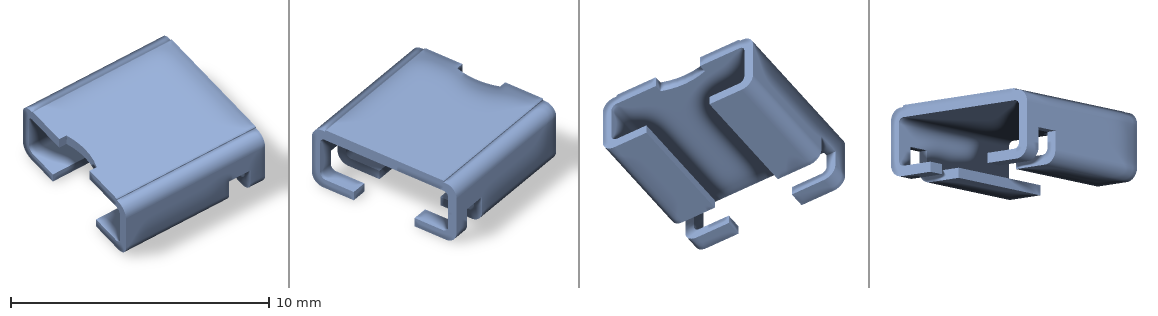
import cadquery as cq

width = 6.9
length = 6.6
height = 2.79

sheet = 0.4
rail_height = 2.71
top_outer_radius = 0.5
bottom_outer_radius = 0.52
bottom_inner_radius = 0.25
lip_reach = 2.0
joint_offset = 0.62
top_inner_radius = joint_offset - sheet

slot_width = 1.0
slot_top = 1.27
slot_end_gap = 0.7

plate_bottom = rail_height - sheet
plate_thickness = height - plate_bottom
plate_width = width - 2 * joint_offset
chamfer_width = 0.05
chamfer_depth = 0.03

notch_width = 2.04
notch_side_depth = 0.34
notch_mid_depth = 0.51

front_y = -length / 2
back_y = length / 2


def make_left_rail():
    """Strip on the -X side: bottom lip, upright wall and short top flange."""
    outer_x = -width / 2
    inner_x = outer_x + sheet
    joint_x = outer_x + joint_offset
    lip_x = outer_x + lip_reach

    rail = (
        cq.Workplane("XZ", origin=(0, back_y, 0))
        .moveTo(lip_x, 0)
        .lineTo(outer_x + bottom_outer_radius, 0)
        .radiusArc((outer_x, bottom_outer_radius), bottom_outer_radius)
        .lineTo(outer_x, rail_height - top_outer_radius)
        .radiusArc((outer_x + top_outer_radius, rail_height), top_outer_radius)
        .lineTo(joint_x, rail_height)
        .lineTo(joint_x, plate_bottom)
        .radiusArc((inner_x, plate_bottom - top_inner_radius), -top_inner_radius)
        .lineTo(inner_x, sheet + bottom_inner_radius)
        .radiusArc((inner_x + bottom_inner_radius, sheet), -bottom_inner_radius)
        .lineTo(lip_x, sheet)
        .close()
        .extrude(length)
    )
    slot = cq.Workplane("XY").box(lip_reach, slot_width, slot_top, centered=False)
    return rail.cut(slot.translate((outer_x, back_y - slot_end_gap - slot_width, 0)))


def make_plate():
    """Flat plate between the rails, with chamfered long edges and a notched front."""
    half_notch = notch_width / 2
    half_plate = plate_width / 2
    chamfer_x = half_plate - chamfer_width
    chamfer_z = height - chamfer_depth
    plate = (
        cq.Workplane("XZ", origin=(0, back_y, 0))
        .polyline([
            (-half_plate, plate_bottom),
            (-half_plate, chamfer_z),
            (-chamfer_x, height),
            (chamfer_x, height),
            (half_plate, chamfer_z),
            (half_plate, plate_bottom),
        ])
        .close()
        .extrude(length)
    )
    notch = (
        cq.Workplane("XY", origin=(0, 0, plate_bottom))
        .moveTo(-half_notch, front_y)
        .lineTo(-half_notch, front_y + notch_side_depth)
        .threePointArc((0, front_y + notch_mid_depth), (half_notch, front_y + notch_side_depth))
        .lineTo(half_notch, front_y)
        .close()
        .extrude(plate_thickness)
    )
    return plate.cut(notch)


left_rail = make_left_rail()
right_rail = left_rail.mirror("YZ")
plate = make_plate()

result = cq.Compound.makeCompound([left_rail.val(), right_rail.val(), plate.val()])